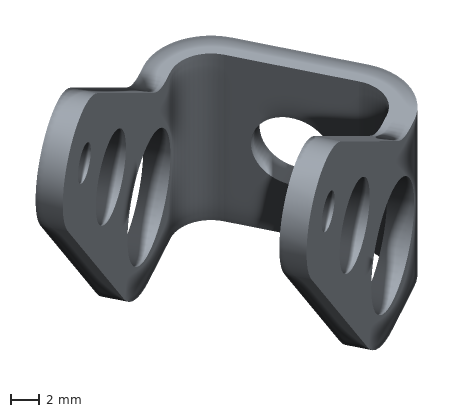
import cadquery as cq
import math


width = 20.0
depth = 30.0
web_height = 15.0
thickness = 2.0
inner_bend_radius = 3.0
outer_bend_radius = inner_bend_radius + thickness
web_hole_diameter = 6.0

total_height = 27.0
tip_radius = 5.0
tip_center = (tip_radius, total_height - tip_radius)
heel_radius = web_height / 2
heel_setback = 10.0
heel_center = (depth - heel_setback, heel_radius)
neck_radius = 5.0
neck_setback = 5.8
neck_center = (depth - neck_setback, web_height + neck_radius)

heel_hole_diameter = 10.0
middle_hole_diameter = 7.0
tip_hole_diameter = 3.0
middle_hole_fraction = 0.59


def on_circle(center, radius, angle):
    return (center[0] + radius * math.cos(angle), center[1] + radius * math.sin(angle))


def direction(start, end):
    return math.atan2(end[1] - start[1], end[0] - start[0])


def arm_profile():
    """Side outline of the part, extruded across the full width."""
    heel_to_tip = direction(heel_center, tip_center)
    lower_turn = math.acos((heel_radius - tip_radius) / math.dist(heel_center, tip_center))
    lower_normal = heel_to_tip + lower_turn

    tip_to_neck = direction(tip_center, neck_center)
    upper_turn = math.acos((tip_radius + neck_radius) / math.dist(tip_center, neck_center))
    upper_normal = tip_to_neck + upper_turn

    down = -math.pi / 2
    neck_middle_angle = (down + upper_normal - math.pi) / 2
    heel_middle_angle = (down + lower_normal - 2 * math.pi) / 2
    tip_middle_angle = (upper_normal + lower_normal) / 2

    return (
        cq.Workplane("YZ")
        .moveTo(depth, 0)
        .lineTo(depth, web_height)
        .lineTo(neck_center[0], web_height)
        .threePointArc(
            on_circle(neck_center, neck_radius, neck_middle_angle),
            on_circle(neck_center, neck_radius, upper_normal + math.pi),
        )
        .lineTo(*on_circle(tip_center, tip_radius, upper_normal))
        .threePointArc(
            on_circle(tip_center, tip_radius, tip_middle_angle),
            on_circle(tip_center, tip_radius, lower_normal),
        )
        .lineTo(*on_circle(heel_center, heel_radius, lower_normal))
        .threePointArc(
            on_circle(heel_center, heel_radius, heel_middle_angle),
            (heel_center[0], 0),
        )
        .close()
        .extrude(width / 2, both=True)
    )


def rounded_block(block_width, back, bend_radius):
    """Full-height block from the front to y = back, with rounded back corners."""
    return (
        cq.Workplane("XY")
        .rect(block_width, 2 * back)
        .extrude(total_height)
        .edges("|Z and >Y")
        .fillet(bend_radius)
    )


def bent_strap():
    outside = rounded_block(width, depth, outer_bend_radius)
    inside = rounded_block(width - 2 * thickness, depth - thickness, inner_bend_radius)
    return outside.cut(inside)


def arm_hole(center, diameter):
    return (
        cq.Workplane("YZ")
        .center(*center)
        .circle(diameter / 2)
        .extrude(width, both=True)
    )


def web_hole():
    return (
        cq.Workplane("XZ", origin=(0, depth, web_height / 2))
        .circle(web_hole_diameter / 2)
        .extrude(2 * thickness, both=True)
    )


middle_hole_center = tuple(
    heel + middle_hole_fraction * (tip - heel) for heel, tip in zip(heel_center, tip_center)
)
arm_holes = [
    (heel_center, heel_hole_diameter),
    (middle_hole_center, middle_hole_diameter),
    (tip_center, tip_hole_diameter),
]

result = bent_strap().intersect(arm_profile()).cut(web_hole())
for hole_center, hole_diameter in arm_holes:
    result = result.cut(arm_hole(hole_center, hole_diameter))